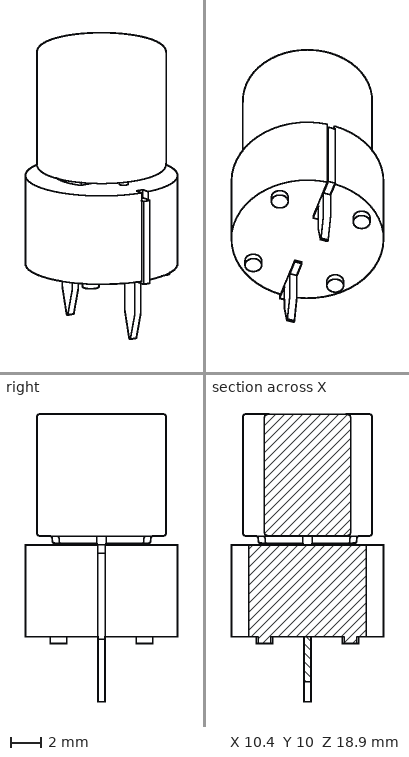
import cadquery as cq

TOTAL_HEIGHT = 18.9
CAP_BOTTOM = 10.89
BASE_TOP = 10.3
BASE_BOTTOM = 4.27
FOOT_BOTTOM = 3.82
STANDOFF_BOTTOM = 10.4

CAP_DIAMETER = 8.5
CAP_EDGE_RADIUS = 0.2

STANDOFF_WIDTH = 3.3
STANDOFF_DIAMETER = 6.48
STANDOFF_EDGE_RADIUS = 0.19
STANDOFF_FLARE_RADIUS = 0.17
JOINT_MARGIN = 0.02

LEAD_DIAMETER = 0.6
LEAD_SPACING = 5.08

BASE_DIAMETER = 10.0
FOOT_DIAMETER = 1.1
FOOT_SPACING = 5.65

TERMINAL_SPAN = 10.4
TERMINAL_THICKNESS = 0.5
TERMINAL_TOP = 9.75
TERMINAL_ARM_WIDTH = 0.81
TERMINAL_SHELF_BOTTOM = 4.1
TERMINAL_SHELF_INNER_X = 1.95
LEG_CENTER_X = 3.6
LEG_WIDTH = 1.17
LEG_TIP_WIDTH = 0.13
LEG_TAPER_HEIGHT = 1.85

TERMINAL_OUTER_X = TERMINAL_SPAN / 2
SLOT_INNER_X = TERMINAL_OUTER_X - TERMINAL_ARM_WIDTH


def cylinder(diameter, bottom, top):
    """Upright cylinder centred on the Z axis."""
    return cq.Workplane("XY").workplane(offset=bottom).circle(diameter / 2).extrude(top - bottom)


def make_standoff():
    """Disc with flats facing -X and +X and a rounded lower rim."""
    disc = cylinder(STANDOFF_DIAMETER, STANDOFF_BOTTOM, CAP_BOTTOM)
    flats = cq.Workplane("XY").box(STANDOFF_WIDTH, STANDOFF_DIAMETER, 2 * TOTAL_HEIGHT)
    return disc.intersect(flats).faces("<Z").edges().fillet(STANDOFF_EDGE_RADIUS)


def make_cap():
    """Cylindrical cap with rounded rims and a standoff flared into its underside."""
    body = cylinder(CAP_DIAMETER, CAP_BOTTOM, TOTAL_HEIGHT).edges().fillet(CAP_EDGE_RADIUS)
    cap = body.union(make_standoff())
    reach = (STANDOFF_DIAMETER + CAP_DIAMETER) / 4
    joint = cq.selectors.BoxSelector(
        (-reach, -reach, CAP_BOTTOM - JOINT_MARGIN),
        (reach, reach, CAP_BOTTOM + JOINT_MARGIN),
        boundingbox=True,
    )
    return cap.edges(joint).fillet(STANDOFF_FLARE_RADIUS)


def make_leads():
    """Pair of round leads that carry the cap above the base."""
    return (
        cq.Workplane("XY")
        .workplane(offset=BASE_TOP)
        .rarray(LEAD_SPACING, 0.19, 2, 1)
        .circle(LEAD_DIAMETER / 2)
        .extrude(CAP_BOTTOM - BASE_TOP)
    )


def make_feet():
    """Four round feet in a square pattern under the base."""
    return (
        cq.Workplane("XY")
        .workplane(offset=FOOT_BOTTOM)
        .rarray(FOOT_SPACING, FOOT_SPACING, 2, 2)
        .circle(FOOT_DIAMETER / 2)
        .extrude(BASE_BOTTOM - FOOT_BOTTOM)
    )


def make_slot(side):
    """Full-height slot in the rim of the base; side is -1 or +1 along X."""
    return (
        cq.Workplane("XY")
        .workplane(offset=BASE_BOTTOM)
        .center(side * (SLOT_INNER_X + TERMINAL_OUTER_X) / 2, 0)
        .rect(TERMINAL_ARM_WIDTH, TERMINAL_THICKNESS)
        .extrude(BASE_TOP - BASE_BOTTOM)
    )


def make_housing():
    """Base and cap joined by the leads, with a slot for each terminal."""
    base = cylinder(BASE_DIAMETER, BASE_BOTTOM, BASE_TOP)
    for side in (-1, 1):
        base = base.cut(make_slot(side))
    return base.union(make_feet()).union(make_leads()).union(make_cap())


def make_terminal(side):
    """Flat terminal: arm in the slot, shelf under the base and a pointed leg."""
    leg_outer_x = LEG_CENTER_X + LEG_WIDTH / 2
    leg_inner_x = LEG_CENTER_X - LEG_WIDTH / 2
    outline = [
        (TERMINAL_OUTER_X, TERMINAL_TOP),
        (TERMINAL_OUTER_X, TERMINAL_SHELF_BOTTOM),
        (leg_outer_x, TERMINAL_SHELF_BOTTOM),
        (leg_outer_x, LEG_TAPER_HEIGHT),
        (LEG_CENTER_X + LEG_TIP_WIDTH / 2, 0),
        (LEG_CENTER_X - LEG_TIP_WIDTH / 2, 0),
        (leg_inner_x, LEG_TAPER_HEIGHT),
        (leg_inner_x, TERMINAL_SHELF_BOTTOM),
        (TERMINAL_SHELF_INNER_X, TERMINAL_SHELF_BOTTOM),
        (TERMINAL_SHELF_INNER_X, BASE_BOTTOM),
        (SLOT_INNER_X, BASE_BOTTOM),
        (SLOT_INNER_X, TERMINAL_TOP),
    ]
    return (
        cq.Workplane("XZ")
        .polyline([(side * x, z) for x, z in outline])
        .close()
        .extrude(TERMINAL_THICKNESS / 2, both=True)
    )


housing = make_housing()
terminals = [make_terminal(side) for side in (-1, 1)]

result = cq.Compound.makeCompound([housing.val(), *[terminal.val() for terminal in terminals]])